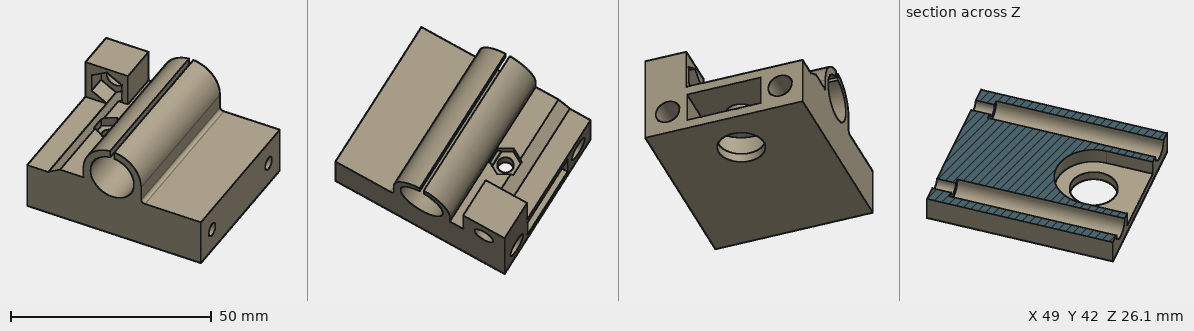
import cadquery as cq
import math

LENGTH = 49.0
WIDTH = 42.0
BASE_HEIGHT = 13.0
MID_Y = WIDTH / 2

TUBE_X = 24.0
TUBE_Z = 18.0
TUBE_RADIUS = 8.135
BORE_RADIUS = 6.135
SPLIT_WIDTH = 1.2
FOOT_FILLET = 1.0

STEP_HEIGHT = 15.0

BLOCK_LENGTH = 12.0
BLOCK_WIDTH = 11.0
BLOCK_HEIGHT = 24.0
BLOCK_SCREW_X = BLOCK_LENGTH / 2
BLOCK_SCREW_Z = TUBE_Z
BLOCK_SCREW_DIAMETER = 5.4
BLOCK_NUT_FLATS = 8.5
BLOCK_NUT_DEPTH = 5.0

AXLE_X = 12.2
AXLE_DIAMETER = 4.1
AXLE_NUT_FLATS = 7.0
AXLE_NUT_FLOOR = 12.5
AXLE_ACCESS_DIAMETER = 12.0
WHEEL_RADIUS = 9.8
POCKET_FLOOR = 2.5
POCKET_CEILING = 10.5
SPACER_DIAMETER = 8.0
SPACER_HEIGHT = 1.5

ROD_SPACING = 30.0
ROD_Z = BASE_HEIGHT / 2
ROD_SOCKET_DIAMETER = 6.3
ROD_END_WALL = 5.0
ROD_SCREW_DIAMETER = 3.5


def box(x_min, x_max, y_min, y_max, z_min, z_max):
    """Axis-aligned box given by its limits."""
    size = (x_max - x_min, y_max - y_min, z_max - z_min)
    return cq.Workplane("XY").box(*size, centered=False).translate((x_min, y_min, z_min))


def cylinder_x(diameter, y, z, length):
    """Cylinder along X, starting at the left face."""
    return cq.Workplane("YZ").center(y, z).circle(diameter / 2).extrude(length)


def cylinder_y(radius, x, z, length):
    """Cylinder along Y, starting at the front face."""
    return cq.Workplane("XZ").center(x, z).circle(radius).extrude(-length)


def cylinder_z(diameter, z_min, z_max):
    """Cylinder along Z on the wheel axle."""
    plane = cq.Workplane("XY", origin=(AXLE_X, MID_Y, z_min))
    return plane.circle(diameter / 2).extrude(z_max - z_min)


def hexagon(flats):
    """Hexagon points around the origin, with two corners on the second axis."""
    radius = flats / math.sqrt(3)
    angles = [math.radians(30 + 60 * i) for i in range(6)]
    return [(radius * math.cos(a), radius * math.sin(a)) for a in angles]


def base_and_tube():
    """Base plate carrying an arched tube body with filleted feet."""
    left = TUBE_X - TUBE_RADIUS
    right = TUBE_X + TUBE_RADIUS
    bend = FOOT_FILLET * (1 - math.sqrt(0.5))
    profile = (
        cq.Workplane("XZ")
        .moveTo(0, 0)
        .lineTo(LENGTH, 0)
        .lineTo(LENGTH, BASE_HEIGHT)
        .lineTo(right + FOOT_FILLET, BASE_HEIGHT)
        .threePointArc((right + bend, BASE_HEIGHT + bend), (right, BASE_HEIGHT + FOOT_FILLET))
        .lineTo(right, TUBE_Z)
        .threePointArc((TUBE_X, TUBE_Z + TUBE_RADIUS), (left, TUBE_Z))
        .lineTo(left, BASE_HEIGHT + FOOT_FILLET)
        .threePointArc((left - bend, BASE_HEIGHT + bend), (left - FOOT_FILLET, BASE_HEIGHT))
        .lineTo(0, BASE_HEIGHT)
        .close()
    )
    return profile.extrude(-WIDTH)


def step():
    """Raised step against the tube, with its axle nut trap and a slope matching the block nut trap."""
    nut_radius = BLOCK_NUT_FLATS / math.sqrt(3)
    slope_bottom = BLOCK_SCREW_Z - nut_radius
    slope_run = (STEP_HEIGHT - slope_bottom) * math.sqrt(3)
    points = [
        (BLOCK_SCREW_X, BASE_HEIGHT),
        (TUBE_X - TUBE_RADIUS, BASE_HEIGHT),
        (TUBE_X - TUBE_RADIUS, STEP_HEIGHT),
        (BLOCK_SCREW_X + slope_run, STEP_HEIGHT),
        (BLOCK_SCREW_X, slope_bottom),
    ]
    body = cq.Workplane("XZ").polyline(points).close().extrude(-WIDTH)
    nut = cq.Workplane("XY", origin=(AXLE_X, MID_Y, BASE_HEIGHT)).polyline(hexagon(AXLE_NUT_FLATS)).close()
    return body.cut(nut.extrude(STEP_HEIGHT - BASE_HEIGHT))


def corner_block():
    """Block at the rear left corner with its nut trap and screw hole."""
    front = WIDTH - BLOCK_WIDTH
    block = box(0, BLOCK_LENGTH, front, WIDTH, BASE_HEIGHT, BLOCK_HEIGHT)
    nut = cq.Workplane("XZ", origin=(BLOCK_SCREW_X, front, BLOCK_SCREW_Z)).polyline(hexagon(BLOCK_NUT_FLATS))
    block = block.cut(nut.close().extrude(-BLOCK_NUT_DEPTH))
    return block.cut(cylinder_y(BLOCK_SCREW_DIAMETER / 2, BLOCK_SCREW_X, BLOCK_SCREW_Z, WIDTH))


def axle_nut_recess():
    """Lower part of the axle nut trap, sunk into the base up to the foot fillet of the tube."""
    fillet_start = TUBE_X - TUBE_RADIUS - FOOT_FILLET
    nut = cq.Workplane("XY", origin=(AXLE_X, MID_Y, AXLE_NUT_FLOOR)).polyline(hexagon(AXLE_NUT_FLATS)).close()
    reach = box(0, fillet_start, 0, WIDTH, AXLE_NUT_FLOOR, BASE_HEIGHT)
    return nut.extrude(BASE_HEIGHT - AXLE_NUT_FLOOR).intersect(reach)


def wheel_pocket():
    """Round-ended pocket open to the left face, leaving a spacer ring under its ceiling."""
    entry = box(0, AXLE_X, MID_Y - WHEEL_RADIUS, MID_Y + WHEEL_RADIUS, POCKET_FLOOR, POCKET_CEILING)
    pocket = entry.union(cylinder_z(2 * WHEEL_RADIUS, POCKET_FLOOR, POCKET_CEILING))
    return pocket.cut(cylinder_z(SPACER_DIAMETER, POCKET_CEILING - SPACER_HEIGHT, POCKET_CEILING))


body = base_and_tube().union(step()).union(corner_block())

body = body.cut(cylinder_y(BORE_RADIUS, TUBE_X, TUBE_Z, WIDTH))
split_left = TUBE_X - SPLIT_WIDTH / 2
split_top = TUBE_Z + TUBE_RADIUS
body = body.cut(box(split_left, split_left + SPLIT_WIDTH, 0, WIDTH, TUBE_Z, split_top))

body = body.cut(wheel_pocket()).cut(cylinder_z(AXLE_DIAMETER, POCKET_FLOOR, BASE_HEIGHT))
body = body.cut(cylinder_z(AXLE_ACCESS_DIAMETER, 0, POCKET_FLOOR))
body = body.cut(axle_nut_recess())

for side in (-1, 1):
    rod_y = MID_Y + side * ROD_SPACING / 2
    body = body.cut(cylinder_x(ROD_SCREW_DIAMETER, rod_y, ROD_Z, LENGTH))
    body = body.cut(cylinder_x(ROD_SOCKET_DIAMETER, rod_y, ROD_Z, LENGTH - ROD_END_WALL))

result = body